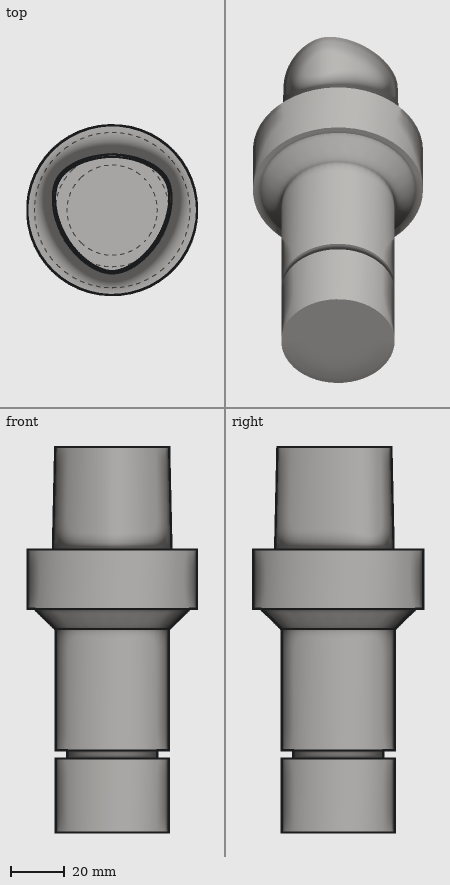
import cadquery as cq
import math

total_height = 143.0
head_height = 27.5
groove_width = 3.0
cone_bottom = 75.4
flange_bottom = 83.0
flange_top = 105.0

shank_diameter = 42.0
neck_diameter = 33.5
cone_top_diameter = 57.6
flange_diameter = 63.0

taper_base_radius = 22.0
taper_top_radius = 21.2
lobe_height = 1.5
lobe_count = 3
lobe_angle = -math.pi / 2


def lobed_wire(mean_radius, height):
    """Closed curve of constant width, with one lobe pointing to -Y."""

    def point(t):
        angle = lobe_angle + 2 * math.pi * t
        phase = lobe_count * (angle - lobe_angle)
        reach = mean_radius + lobe_height * math.cos(phase)
        slope = -lobe_count * lobe_height * math.sin(phase)
        return cq.Vector(
            reach * math.cos(angle) - slope * math.sin(angle),
            reach * math.sin(angle) + slope * math.cos(angle),
            height,
        )

    points_per_turn = 48
    points = [point(i / points_per_turn) for i in range(points_per_turn)]
    return cq.Wire.assembleEdges([cq.Edge.makeSpline(points, periodic=True)])


def make_head():
    """Plain cylinder at the lower end."""
    return cq.Workplane("XY").circle(shank_diameter / 2).extrude(head_height)


def make_holder():
    """Neck, shank, cone and flange turned in one profile, topped by the lobed taper."""
    shank_bottom = head_height + groove_width
    turned = (
        cq.Workplane("XZ")
        .moveTo(0, head_height)
        .lineTo(neck_diameter / 2, head_height)
        .lineTo(neck_diameter / 2, shank_bottom)
        .lineTo(shank_diameter / 2, shank_bottom)
        .lineTo(shank_diameter / 2, cone_bottom)
        .lineTo(cone_top_diameter / 2, flange_bottom)
        .lineTo(flange_diameter / 2, flange_bottom)
        .lineTo(flange_diameter / 2, flange_top)
        .lineTo(0, flange_top)
        .close()
        .revolve(360, (0, 0, 0), (0, 1, 0))
    )
    taper = cq.Solid.makeLoft(
        [lobed_wire(taper_base_radius, flange_top), lobed_wire(taper_top_radius, total_height)],
        True,
    )
    return turned.union(cq.Workplane(taper))


head = make_head()
holder = make_holder()

result = cq.Compound.makeCompound([head.val(), *holder.solids().vals()])